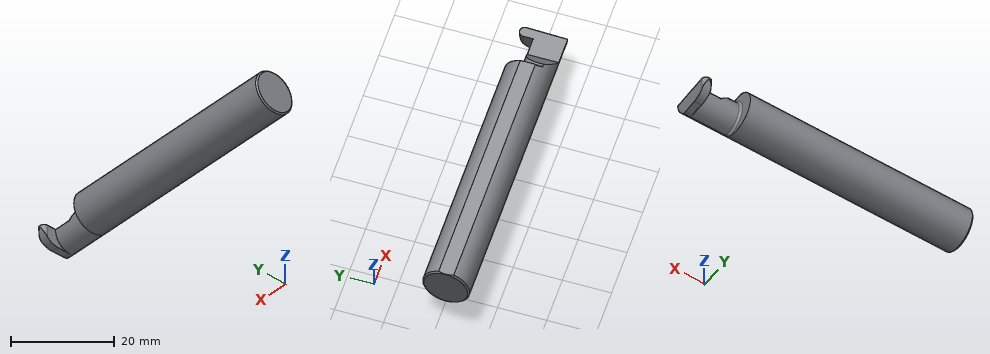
import cadquery as cq
import math

total_length = 63.5
shank_radius = 4.75
shank_length = 52.7
flat_height = 4.5
end_chamfer = 0.3

neck_radius = 3.84
neck_side = 1.65
neck_center = neck_side - neck_radius
neck_fillet = 0.5
floor_start = 57.45

hook_width = 2.15
hook_start = total_length - hook_width
hook_radius = hook_width / 2
hook_reach = shank_radius
end_lean = 0.25
side_clearance = 0.65
floor_allowance = 0.65
relief_angle = 3.0


def make_cylinder(length):
    return cq.Workplane("YZ").circle(shank_radius).extrude(length)


def make_shank():
    shank = make_cylinder(shank_length).faces("<X").chamfer(end_chamfer)
    size = 2 * shank_radius
    below_flat = (
        cq.Workplane("XY")
        .box(shank_length, size, size, centered=(False, True, False))
        .translate((0, 0, flat_height - size))
    )
    return shank.intersect(below_flat)


def make_neck():
    """Neck with a concave fillet at the shoulder, revolved about its own axis."""
    flare_radius = neck_radius + neck_fillet
    root = shank_length - neck_fillet
    arc_offset = neck_fillet * (1 - math.sqrt(0.5))
    neck = (
        cq.Workplane("XY")
        .moveTo(root, 0)
        .lineTo(root, flare_radius)
        .lineTo(shank_length, flare_radius)
        .threePointArc(
            (shank_length + arc_offset, neck_radius + arc_offset),
            (shank_length + neck_fillet, neck_radius),
        )
        .lineTo(total_length, neck_radius)
        .lineTo(total_length, 0)
        .close()
        .revolve(360, (0, 0), (1, 0))
        .translate((0, neck_center, 0))
    )
    return neck.intersect(make_cylinder(total_length))


def make_ramp_cut():
    """Space above the floor and the 45 degree ramp."""
    height = 2 * shank_radius
    return (
        cq.Workplane("XZ")
        .moveTo(floor_start, 0)
        .lineTo(total_length, 0)
        .lineTo(total_length, height)
        .lineTo(floor_start - height, height)
        .close()
        .extrude(shank_radius, both=True)
    )


def make_hook():
    """Round-ended hook with drafted sides, rounded below the tip like the neck."""
    round_center = hook_reach - hook_radius
    outline_bottom = -hook_reach - side_clearance
    blank = (
        cq.Workplane("XY")
        .moveTo(hook_start, outline_bottom)
        .lineTo(hook_start, round_center)
        .threePointArc((hook_start + hook_radius, hook_reach), (total_length, round_center))
        .lineTo(total_length - end_lean, outline_bottom)
        .close()
        .extrude(-neck_radius, taper=relief_angle)
        .faces(">Z")
        .wires()
        .toPending()
        .extrude(floor_allowance)
    )
    section_start = cq.Workplane("YZ").workplane(offset=shank_length)
    tip_center = hook_reach - neck_radius
    hook_side = (
        section_start.center((neck_center + tip_center) / 2, 0)
        .slot2D(tip_center - neck_center + 2 * neck_radius, 2 * neck_radius)
        .extrude(total_length - shank_length)
        .intersect(make_cylinder(total_length))
    )
    return hook_side.intersect(blank)


hook = make_hook()
neck_end = hook_start + hook_radius
neck = make_neck().intersect(make_cylinder(neck_end))
head = neck.union(hook).cut(make_ramp_cut())
result = make_shank().union(head)